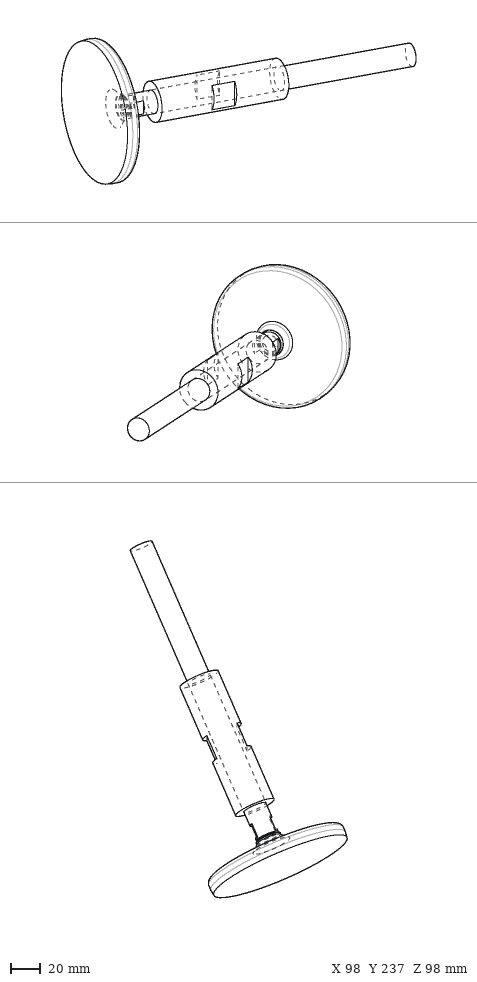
import cadquery as cq
import math

total_length = 237.0

spindle_diameter = 16.0
spindle_start = 22.3
spindle_flat_width = 13.0
spindle_flat_start = 23.8
spindle_flat_length = 9.5

sleeve_diameter = 28.0
sleeve_start = 43.5
sleeve_length = 95.0
sleeve_flat_width = 22.0
sleeve_flat_length = 17.0

foot_diameter = 98.0
base_diameter = 97.0
base_height = 3.75
rim_height = 7.3
rim_radius = 2.5
dish_slope = 9.3
dish_top_diameter = 26.6
collar_base_diameter = 23.4
collar_base_height = 16.7
collar_top_diameter = 17.0
collar_top_height = 20.0
lip_diameter = 18.0
lip_height = 20.9
crown_diameter = 11.4
crown_height = spindle_start


def cylinder(diameter, start, length):
    """Round bar on the Y axis, from y = start."""
    return cq.Workplane("XZ", origin=(0, start, 0)).circle(diameter / 2).extrude(-length)


def cut_flats(bar, diameter, width, start, length):
    """Cut two wrench flats, facing -X and +X, into a round bar."""
    depth = (diameter - width) / 2
    for side in (-1, 1):
        block = cq.Workplane("XY").box(depth, length, diameter)
        bar = bar.cut(block.translate((side * (width + depth) / 2, start + length / 2, 0)))
    return bar


def make_foot():
    """Turned foot: flat base, rounded rim, shallow dish, flared collar and a conical crown over the lip."""
    slope = math.radians(dish_slope)
    shoulder_radius = foot_diameter / 2 - rim_radius * (1 - math.sin(slope))
    shoulder_height = rim_height + rim_radius * math.cos(slope)
    dish_top_height = shoulder_height + (shoulder_radius - dish_top_diameter / 2) * math.tan(slope)
    profile = (
        cq.Workplane("XY")
        .lineTo(base_diameter / 2, 0)
        .lineTo(foot_diameter / 2, base_height)
        .lineTo(foot_diameter / 2, rim_height)
        .tangentArcPoint((shoulder_radius, shoulder_height), relative=False)
        .lineTo(dish_top_diameter / 2, dish_top_height)
        .lineTo(collar_base_diameter / 2, collar_base_height)
        .lineTo(collar_top_diameter / 2, collar_top_height)
        .lineTo(lip_diameter / 2, lip_height)
        .lineTo(crown_diameter / 2, crown_height)
        .lineTo(0, crown_height)
        .close()
    )
    return profile.revolve(360, (0, 0, 0), (0, 1, 0))


def make_spindle():
    """Round spindle whose flat end rests on the crown of the foot."""
    rod = cylinder(spindle_diameter, spindle_start, total_length - spindle_start)
    return cut_flats(rod, spindle_diameter, spindle_flat_width, spindle_flat_start, spindle_flat_length)


def make_sleeve():
    """Thick tube around the spindle with wrench flats at mid length."""
    tube = cylinder(sleeve_diameter, sleeve_start, sleeve_length)
    tube = tube.cut(cylinder(spindle_diameter, sleeve_start, sleeve_length))
    flat_start = sleeve_start + (sleeve_length - sleeve_flat_length) / 2
    return cut_flats(tube, sleeve_diameter, sleeve_flat_width, flat_start, sleeve_flat_length)


foot = make_foot()
spindle = make_spindle()
sleeve = make_sleeve()

result = cq.Compound.makeCompound([foot.val(), spindle.val(), sleeve.val()])